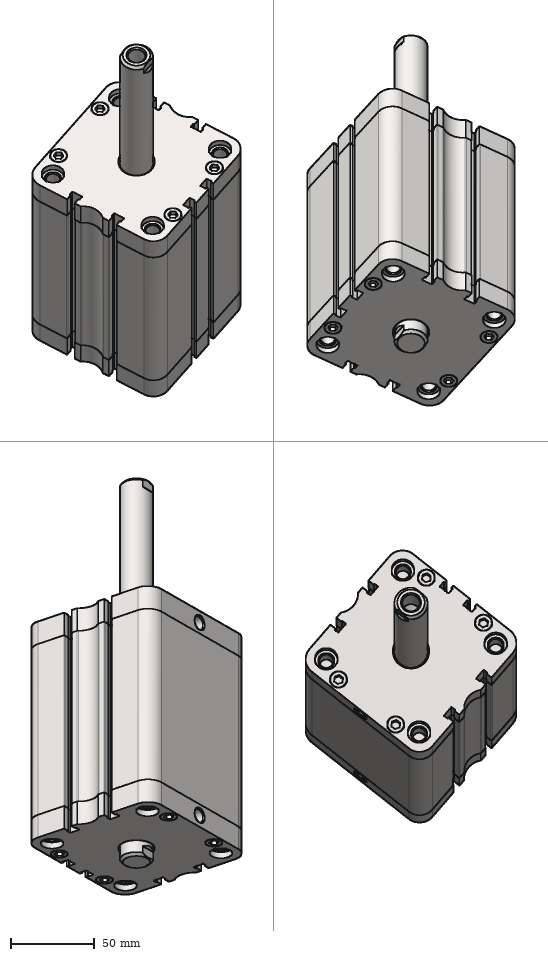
import cadquery as cq
import math


SIDE = 95.5
HALF_SIDE = SIDE / 2
CORNER_RADIUS = 10.0
BODY_HEIGHT = 144.1
CAP_HEIGHT = 15.0
BARREL_HEIGHT = BODY_HEIGHT - 2 * CAP_HEIGHT

WIDE_SLOT_OFFSET = 15.0
WIDE_SLOT_MOUTH = 5.5
WIDE_SLOT_FLOOR = 7.0
WIDE_SLOT_LIP = 4.0
WIDE_SLOT_DEPTH = 6.8

SIDE_SLOT_OFFSET = 9.0
SIDE_SLOT_MOUTH = 5.0
SIDE_SLOT_FLOOR = 6.8
SIDE_SLOT_LIP = 1.8
SIDE_SLOT_DEPTH = 5.5

TROUGH_WIDTH = 16.0
TROUGH_DEPTH = 3.0
TROUGH_EDGE_ROUND = 1.3
SLOT_EDGE_ROUND = 0.5
TROUGH_RADIUS = ((TROUGH_WIDTH / 2) ** 2 + TROUGH_DEPTH**2) / (2 * TROUGH_DEPTH)

MOUNT_OFFSET = 36.0
MOUNT_RECESS_DIAMETER = 13.5
MOUNT_RECESS_DEPTH = 4.0

THREAD_DIAMETER = 8.3
THREAD_MOUTH_DIAMETER = 9.8
PORT_DEPTH = 10.0
PORT_FROM_END = 7.8

SCREW_X = 41.3
SCREW_Y = 22.2
SCREW_HEAD_DIAMETER = 9.8
SCREW_RECESS_DIAMETER = 10.3
SCREW_GAP_DEPTH = 2.5
SOCKET_FLATS = 5.0
SOCKET_DEPTH = 3.0
SOCKET_TURN = 30

ROD_DIAMETER = 20.0
ROD_BELOW = 9.0
ROD_ABOVE = 98.8
ROD_CHAMFER = 1.8
FLATS_WIDTH = 17.1
FLATS_LENGTH = 6.0
ROD_RECESS_DIAMETER = 20.7
ROD_RECESS_MOUTH = 22.0
ROD_RECESS_DEPTH = 1.5
ROD_THREAD_DIAMETER = 10.3
ROD_THREAD_MOUTH = 12.0
ROD_THREAD_DEPTH = 20.2
DRILL_POINT_ANGLE = 118.0

CHAMFER_ANGLE = 45
CUT_MARGIN = 2.5
EDGE_TOLERANCE = 0.03


def t_slot(mouth, floor, lip, depth, offset, turn, height):
    """T-slot cutter in the +Y face, turned about Z by `turn` degrees."""
    lip_y = HALF_SIDE - lip
    open_length = lip + CUT_MARGIN
    neck = cq.Workplane("XY").box(mouth, open_length, height, centered=(True, False, False))
    head = cq.Workplane("XY").box(floor, depth - lip, height, centered=(True, False, False))
    cutter = neck.translate((offset, lip_y, 0))
    cutter = cutter.union(head.translate((offset, HALF_SIDE - depth, 0)))
    return cutter.rotate((0, 0, 0), (0, 0, 1), turn)


def square_profile(height):
    """Rounded square bar with its slots, its troughs and the rod hole, standing on Z = 0."""
    bar = cq.Workplane("XY").rect(SIDE, SIDE).extrude(height)
    bar = bar.edges("|Z").fillet(CORNER_RADIUS)
    for turn in (0, 180):
        for offset in (-WIDE_SLOT_OFFSET, WIDE_SLOT_OFFSET):
            bar = bar.cut(
                t_slot(WIDE_SLOT_MOUTH, WIDE_SLOT_FLOOR, WIDE_SLOT_LIP, WIDE_SLOT_DEPTH,
                       offset, turn, height)
            )
    for offset in (-SIDE_SLOT_OFFSET, SIDE_SLOT_OFFSET):
        bar = bar.cut(
            t_slot(SIDE_SLOT_MOUTH, SIDE_SLOT_FLOOR, SIDE_SLOT_LIP, SIDE_SLOT_DEPTH,
                   offset, -90, height)
        )
    trough_y = HALF_SIDE - TROUGH_DEPTH + TROUGH_RADIUS
    troughs = cq.Workplane("XY").pushPoints([(0, trough_y), (0, -trough_y)])
    bar = bar.cut(troughs.circle(TROUGH_RADIUS).extrude(height))
    return bar.cut(cq.Workplane("XY").circle(ROD_DIAMETER / 2).extrude(height))


def long_edges(solid, inner_x, outer_x):
    """Edges along Z in the front and back faces, between two distances from the middle plane."""
    found = solid.edges("|Z").vals()
    return solid.newObject([
        edge for edge in found
        if inner_x < abs(edge.Center().x) < outer_x and abs(edge.Center().y) > HALF_SIDE - EDGE_TOLERANCE
    ])


def make_barrel():
    """Barrel: the square profile with rounded slot mouths and trough edges, on top of the lower cap."""
    bar = square_profile(BARREL_HEIGHT)
    trough_edge = TROUGH_WIDTH / 2
    slot_edge = WIDE_SLOT_OFFSET + WIDE_SLOT_MOUTH / 2
    middle = trough_edge + TROUGH_EDGE_ROUND
    bar = long_edges(bar, 0, middle).fillet(TROUGH_EDGE_ROUND)
    bar = long_edges(bar, middle, slot_edge + EDGE_TOLERANCE).fillet(SLOT_EDGE_ROUND)
    return bar.translate((0, 0, CAP_HEIGHT))


def chamfered_hole(diameter, mouth_diameter, depth):
    """Cutter for a hole going down from Z = 0, with a 45 degree chamfer at its mouth."""
    mouth_radius = mouth_diameter / 2
    chamfer = (mouth_diameter - diameter) / 2
    hole = cq.Workplane("XY").circle(diameter / 2).extrude(-depth)
    mouth = cq.Workplane("XY").circle(mouth_radius).extrude(-chamfer, taper=CHAMFER_ANGLE)
    return hole.union(mouth)


def mounting_hole():
    """Cutter going down from Z = 0: a round recess, then a threaded hole through the cap."""
    recess = cq.Workplane("XY").circle(MOUNT_RECESS_DIAMETER / 2).extrude(-MOUNT_RECESS_DEPTH)
    thread = chamfered_hole(THREAD_DIAMETER, THREAD_MOUTH_DIAMETER, CAP_HEIGHT - MOUNT_RECESS_DEPTH)
    return recess.union(thread.translate((0, 0, -MOUNT_RECESS_DEPTH)))


def screw_outline():
    """Cutter going down from Z = 0: the ring gap around a screw head, and its hexagon socket."""
    gap = (
        cq.Workplane("XY")
        .circle(SCREW_RECESS_DIAMETER / 2)
        .circle(SCREW_HEAD_DIAMETER / 2)
        .extrude(-SCREW_GAP_DEPTH)
    )
    corner_diameter = SOCKET_FLATS / math.cos(math.pi / 6)
    socket = cq.Workplane("XY").polygon(6, corner_diameter).extrude(-SOCKET_DEPTH)
    return gap.union(socket.rotate((0, 0, 0), (0, 0, 1), SOCKET_TURN))


def end_cap():
    """Upper cap, standing on Z = 0 with its outer face up."""
    cap = square_profile(CAP_HEIGHT)
    for x_sign in (-1, 1):
        for y_sign in (-1, 1):
            mount_place = (x_sign * MOUNT_OFFSET, y_sign * MOUNT_OFFSET, CAP_HEIGHT)
            screw_place = (x_sign * SCREW_X, y_sign * SCREW_Y, CAP_HEIGHT)
            cap = cap.cut(mounting_hole().translate(mount_place))
            cap = cap.cut(screw_outline().translate(screw_place))
    port = chamfered_hole(THREAD_DIAMETER, THREAD_MOUTH_DIAMETER, PORT_DEPTH)
    port = port.rotate((0, 0, 0), (0, 1, 0), -90)
    cap = cap.cut(port.translate((-HALF_SIDE, 0, CAP_HEIGHT - PORT_FROM_END)))
    rod_recess = chamfered_hole(ROD_RECESS_DIAMETER, ROD_RECESS_MOUTH, ROD_RECESS_DEPTH)
    return cap.cut(rod_recess.translate((0, 0, CAP_HEIGHT)))


def flats_cutter():
    """Cutter for the wrench flats of a rod end whose end face is at Z = 0, pointing up."""
    half_flats = FLATS_WIDTH / 2
    reach = ROD_DIAMETER / 2 + CUT_MARGIN
    slope = reach - half_flats
    side = (
        cq.Workplane("XZ")
        .moveTo(half_flats, 0)
        .lineTo(half_flats, -FLATS_LENGTH)
        .lineTo(reach, -FLATS_LENGTH - slope)
        .lineTo(reach, 0)
        .close()
        .extrude(reach, both=True)
    )
    return side.union(side.mirror("YZ"))


def piston_rod():
    """Rod with chamfered ends, wrench flats at both ends and a threaded hole in the top end."""
    length = ROD_BELOW + BODY_HEIGHT + ROD_ABOVE
    body = cq.Workplane("XY").circle(ROD_DIAMETER / 2).extrude(length)
    body = body.faces("<Z or >Z").chamfer(ROD_CHAMFER)
    flats = flats_cutter()
    body = body.cut(flats.translate((0, 0, length)))
    body = body.cut(flats.mirror("XY"))
    point_height = ROD_THREAD_DIAMETER / 2 / math.tan(math.radians(DRILL_POINT_ANGLE / 2))
    thread = chamfered_hole(ROD_THREAD_DIAMETER, ROD_THREAD_MOUTH, ROD_THREAD_DEPTH)
    drill_point = cq.Solid.makeCone(
        ROD_THREAD_DIAMETER / 2, 0, point_height, cq.Vector(0, 0, -ROD_THREAD_DEPTH), cq.Vector(0, 0, -1)
    )
    body = body.cut(thread.union(cq.Workplane(drill_point)).translate((0, 0, length)))
    return body.translate((0, 0, -ROD_BELOW))


barrel = make_barrel()
upper_cap = end_cap().translate((0, 0, BODY_HEIGHT - CAP_HEIGHT))
lower_cap = end_cap().mirror("XY").translate((0, 0, CAP_HEIGHT))
rod = piston_rod()

result = cq.Compound.makeCompound([barrel.val(), upper_cap.val(), lower_cap.val(), rod.val()])